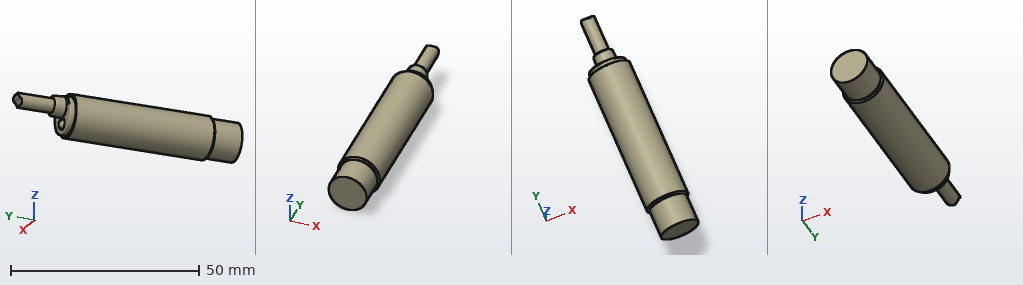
import cadquery as cq

total_length = 63.5

nose_diameter = 10.8
nose_length = 7.95
body_diameter = 12.0
body_end = 48.45
body_chamfer = 0.5

cap_diameter = 10.6
cap_end = 50.0
cap_edge_radius = 0.3

cable_height = 2.3
cable_diameter = 4.0
grommet_root_diameter = 5.9
grommet_tip_diameter = 5.6
grommet_end = 53.0
grommet_edge_radius = 0.4

lamp_height = -2.55
lamp_diameter = 3.0
lamp_rise = 0.95

break_depth = 0.5


def rod(diameter, start, end, height=0.0):
    """Solid cylinder along +Y between two stations."""
    axis_start = cq.Vector(0, start, height)
    return cq.Workplane(cq.Solid.makeCylinder(diameter / 2, end - start, axis_start, cq.Vector(0, 1, 0)))


def make_housing():
    nose = rod(nose_diameter, 0, nose_length)
    body = rod(body_diameter, nose_length, body_end).faces("<Y").chamfer(body_chamfer)
    cap = rod(cap_diameter, body_end, cap_end).faces(">Y").edges().fillet(cap_edge_radius)
    return nose.union(body).union(cap)


def make_grommet():
    """Slightly tapered collar with a rounded rear edge, rooted below the cap's rounded edge."""
    root = cap_end - cap_edge_radius
    root_radius = grommet_root_diameter / 2
    tip_radius = grommet_tip_diameter / 2
    profile = (
        cq.Workplane("XY")
        .moveTo(0, root)
        .lineTo(root_radius, root)
        .lineTo(tip_radius, grommet_end - grommet_edge_radius)
        .radiusArc((tip_radius - grommet_edge_radius, grommet_end), -grommet_edge_radius)
        .lineTo(0, grommet_end)
        .close()
    )
    return profile.revolve(360, (0, 0), (0, 1)).translate((0, 0, cable_height))


def make_cable():
    """Cable cut by an S-curve: bulging in its upper half, hollow in its lower half."""
    radius = cable_diameter / 2
    break_middle = total_length - break_depth
    side_profile = (
        cq.Workplane("YZ")
        .moveTo(cap_end, cable_height - radius)
        .lineTo(break_middle, cable_height - radius)
        .threePointArc(
            (break_middle - break_depth, cable_height - radius / 2),
            (break_middle, cable_height),
        )
        .threePointArc(
            (total_length, cable_height + radius / 2),
            (break_middle, cable_height + radius),
        )
        .lineTo(cap_end, cable_height + radius)
        .close()
        .extrude(radius, both=True)
    )
    return rod(cable_diameter, cap_end, total_length, cable_height).intersect(side_profile)


def make_lamp():
    """Spherical dome seated on the rear cap."""
    lamp_radius = lamp_diameter / 2
    dome = (
        cq.Workplane("XY")
        .moveTo(0, cap_end)
        .lineTo(lamp_radius, cap_end)
        .radiusArc((0, cap_end + lamp_rise), -(lamp_radius**2 + lamp_rise**2) / (2 * lamp_rise))
        .close()
    )
    return dome.revolve(360, (0, 0), (0, 1)).translate((0, 0, lamp_height))


result = make_housing().union(make_grommet()).union(make_cable()).union(make_lamp())